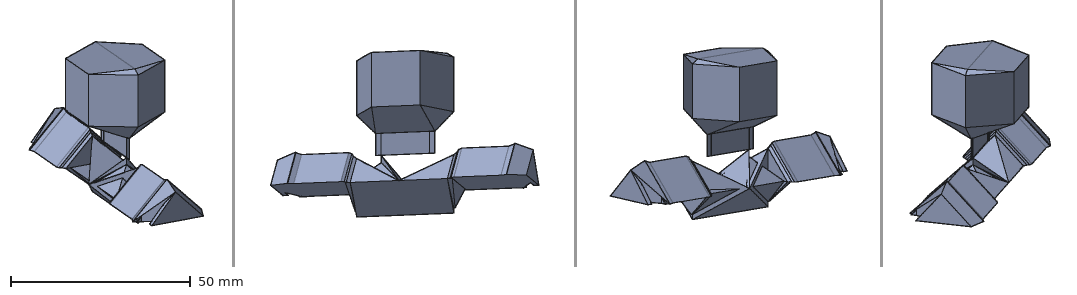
import cadquery as cq
import math


KNOB_RADIUS = 13.9
KNOB_BOTTOM = 20.45
KNOB_TOP = 35.9
RIDGE_TOP = 37.1
RIDGE_HALF_LENGTH = 11.9
STEM_HALF_WIDTH = 8.5
STEM_TOP = 15.1
STEM_BOTTOM = 8.9
STEM_OVERLAP = 0.4
STEM_THICKNESS = 0.15
PANEL_HALF_WIDTH = 6.9
PANEL_THICKNESS = 0.2

BODY_HALF_LENGTH = 13.9
BODY_RADIUS = 8.3
BORE_RADIUS = 6.85
COLLAR_END = 15.25
COLLAR_KEEL_END = 14.2

NUT_PROFILE = [
    (BODY_HALF_LENGTH, BODY_RADIUS),
    (14.8, 9.05),
    (15.25, 9.7),
    (16.1, 10.1),
    (29.6, 10.1),
    (31.2, 10.65),
    (31.3, 10.8),
    (36.5, 8.75),
]
RIM_X, RIM_RADIUS = NUT_PROFILE[-2]
NUT_END, NUT_END_RADIUS = NUT_PROFILE[-1]
LIP_THICKNESS = 1.45
LIP_REACH = 7.45
INNER_RING_START = 32.4
INNER_RING_RADIUS = 10.1


def polyhedron(faces):
    """Solid bounded by flat faces, each given as its corners in order."""
    sides = []
    for corners in faces:
        wire = cq.Wire.makePolygon([cq.Vector(*corner) for corner in corners], close=True)
        sides.append(cq.Face.makeFromWires(wire))
    solid = cq.Solid.makeSolid(cq.Shell.makeShell(sides))
    return cq.Workplane(obj=solid.fix())


def bar(section, x_start, x_end):
    """Straight bar along X whose section is a list of (y, z) corners."""
    return cq.Workplane("YZ").workplane(offset=x_start).polyline(section).close().extrude(x_end - x_start)


def hipped_end(eaves_z, ridge_z, ridge_half_length):
    """Knob end that narrows from the hexagon to a ridge along X."""
    angles = [math.radians(60 * i) for i in range(6)]
    corners = [(KNOB_RADIUS * math.cos(a), KNOB_RADIUS * math.sin(a), eaves_z) for a in angles]
    right, back_right, back_left, left, front_left, front_right = corners
    ridge_right = (ridge_half_length, 0, ridge_z)
    ridge_left = (-ridge_half_length, 0, ridge_z)
    return polyhedron([
        corners,
        [back_right, back_left, ridge_left, ridge_right],
        [front_left, front_right, ridge_right, ridge_left],
        [right, back_right, ridge_right],
        [front_right, right, ridge_right],
        [back_left, left, ridge_left],
        [left, front_left, ridge_left],
    ])


def stem_plate(half_width, thickness):
    """Upright plate under the knob, running up into its narrowing end so that the two join solidly."""
    height = STEM_TOP + STEM_OVERLAP - STEM_BOTTOM
    plate = cq.Workplane("XY").box(2 * half_width, thickness, height, centered=(True, True, False))
    return plate.translate((0, 0, STEM_BOTTOM))


def make_knob():
    grip = (
        cq.Workplane("XY")
        .workplane(offset=KNOB_BOTTOM)
        .polygon(6, 2 * KNOB_RADIUS)
        .extrude(KNOB_TOP - KNOB_BOTTOM)
    )
    knob = grip.union(hipped_end(KNOB_TOP, RIDGE_TOP, RIDGE_HALF_LENGTH))
    knob = knob.union(hipped_end(KNOB_BOTTOM, STEM_TOP, STEM_HALF_WIDTH))
    knob = knob.union(stem_plate(STEM_HALF_WIDTH, STEM_THICKNESS))
    return knob.union(stem_plate(PANEL_HALF_WIDTH, PANEL_THICKNESS))


def saddle_wedge(side):
    """Upper part of the run on one side, sloping down to the middle of the valve."""
    end_x = side * BODY_HALF_LENGTH
    front = (0, -BODY_RADIUS, 0)
    back = (0, BODY_RADIUS, 0)
    end_back = (end_x, BODY_RADIUS, 0)
    end_middle = (end_x, 0, 0)
    peak = (end_x, 0, BODY_RADIUS)
    return polyhedron([
        [front, back, end_back, end_middle],
        [front, back, peak],
        [back, end_back, peak],
        [end_back, end_middle, peak],
        [end_middle, front, peak],
    ])


def lower_run():
    """Lower half of the run: a V-shaped keel cut back at the front, around a smaller full-length one."""
    keel = bar([(-BODY_RADIUS, 0), (BODY_RADIUS, 0), (0, -BODY_RADIUS)], -BODY_HALF_LENGTH, BODY_HALF_LENGTH)
    plan = [
        (-BODY_HALF_LENGTH, 0),
        (0, -BODY_RADIUS),
        (BODY_HALF_LENGTH, 0),
        (BODY_HALF_LENGTH, BODY_RADIUS),
        (-BODY_HALF_LENGTH, BODY_RADIUS),
    ]
    keel = keel.intersect(cq.Workplane("XY").polyline(plan).close().extrude(-BODY_RADIUS))
    liner = bar([(-BORE_RADIUS, 0), (BORE_RADIUS, 0), (0, -BORE_RADIUS)], -BODY_HALF_LENGTH, BODY_HALF_LENGTH)
    return keel.union(liner)


def collar(side):
    """Sloping end of the lower run, below the nut."""
    start = side * BODY_HALF_LENGTH
    inner = [(start, -BODY_RADIUS, 0), (start, BODY_RADIUS, 0), (start, 0, -BORE_RADIUS)]
    end = side * COLLAR_END
    keel_end = side * COLLAR_KEEL_END
    outer = [(end, -BODY_RADIUS, 0), (end, BODY_RADIUS, 0), (keel_end, 0, -BORE_RADIUS)]
    walls = [[inner[i - 1], inner[i], outer[i], outer[i - 1]] for i in range(3)]
    return polyhedron([inner, outer] + walls)


def neck():
    """Branch that rises from the middle of the run to the foot of the stem."""
    base = [
        (0, -BORE_RADIUS, 0),
        (0, BORE_RADIUS, 0),
        (BODY_HALF_LENGTH, BORE_RADIUS, 0),
        (BODY_HALF_LENGTH, -BORE_RADIUS, 0),
    ]
    shoulder = (BORE_RADIUS, 0, BORE_RADIUS)
    core = polyhedron([base] + [[base[i - 1], base[i], shoulder] for i in range(4)])
    front = (0, -BODY_RADIUS, 0)
    back = (0, BODY_RADIUS, 0)
    tip = (BORE_RADIUS, 0, STEM_BOTTOM)
    web = polyhedron([
        [front, back, shoulder],
        [front, back, tip],
        [front, shoulder, tip],
        [back, shoulder, tip],
    ])
    return core.union(web)


def make_body():
    body = lower_run().union(neck())
    for side in (-1, 1):
        body = body.union(saddle_wedge(side)).union(collar(side))
    return body


def make_nut():
    """Nut on the +X end: a stepped ridge with a flat underside and an opening at the front of its tip."""
    crest = [(x, 0, r) for x, r in NUT_PROFILE]
    front = [(x, -r, 0) for x, r in NUT_PROFILE]
    back = [(x, r, 0) for x, r in NUT_PROFILE]
    faces = [
        [crest[0], front[0], back[0]],
        [crest[-1], front[-1], back[-1]],
        front + back[::-1],
    ]
    for edge in (front, back):
        for i in range(1, len(crest)):
            faces.append([crest[i - 1], crest[i], edge[i], edge[i - 1]])
    nut = polyhedron(faces)

    opening = [(NUT_END, 0), (RIM_X, -RIM_RADIUS), (NUT_END, -RIM_RADIUS)]
    nut = nut.cut(cq.Workplane("XY").polyline(opening).close().extrude(RIM_RADIUS))
    lip = bar([(0, 0), (-LIP_REACH, 0), (0, NUT_END_RADIUS)], NUT_END - LIP_THICKNESS, NUT_END)
    ring_section = [(0, 0), (-INNER_RING_RADIUS, 0), (0, INNER_RING_RADIUS)]
    return nut.union(lip).union(bar(ring_section, RIM_X, INNER_RING_START))


knob = make_knob()
body = make_body()
right_nut = make_nut()
left_nut = right_nut.mirror("YZ")

result = cq.Compound.makeCompound([knob.val(), body.val(), right_nut.val(), left_nut.val()])